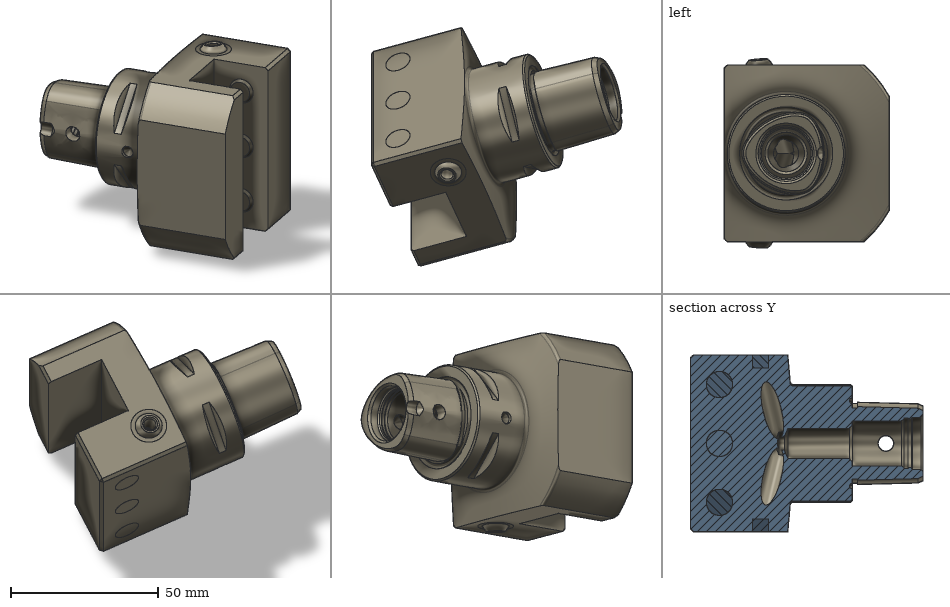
import cadquery as cq
import math


SHANK_LENGTH = 24.0
LOBE_HEIGHT = 1.0
SHANK_RADIUS = 14.0
TAPER_PER_LENGTH = 0.025
TAPER_END = -1.65
LEAD_LENGTH = 1.7
LEAD_DROP = 0.8
NECK_DROP = 0.4
NECK_RADIUS = 14.1
POINTS_PER_SEGMENT = 8

FLANGE_RADIUS = 20.0
FLANGE_LENGTH = 20.1
FLANGE_CHAMFER = 0.55
ROOT_FILLET = 1.0
HEAD_RADIUS = 40.0
HEAD_EDGE_ROUND = 0.95
HEAD_BACK_ANGLE = 5.0
HEAD_END = 55.0
HEAD_FRONT_Y = -35.0
HEAD_BACK_Y = 21.0
HEAD_HALF_HEIGHT = 30.0
HEAD_CHAMFER = 1.0
FORK_DEPTH = 20.0
FORK_WALL_Y = 1.0
FORK_WIDTH = 20.9

FACE_GROOVE_RADIUS = 0.9
FACE_GROOVE_CENTRE = NECK_RADIUS + FACE_GROOVE_RADIUS

GRIPPER_X = 8.1
GRIPPER_FLOOR_WIDTH = 2.5
GRIPPER_FLOOR_RADIUS = 17.6
GRIPPER_WALL_ANGLE = 30.0
GRIPPER_COUNT = 4

DRILL_TIP_RATIO = 0.8
SHANK_HOLE_RADIUS = 2.6
SHANK_HOLE_X = -11.4
SHANK_HOLE_END_Y = 10.3
NOTCH_AXIS_Y = -13.2
NOTCH_DEPTH = 4.3
MARK_HOLE_RADIUS = 2.05
MARK_HOLE_X = 12.1
MARK_HOLE_DEPTH = 1.2

BORE_STEPS = [
    (0.0, 10.3),
    (0.8, 9.5),
    (3.6, 9.5),
    (4.0, 8.9),
    (5.1, 8.9),
    (5.1, 9.25),
    (6.5, 9.25),
    (6.5, 8.9),
    (7.3, 8.45),
    (24.0, 8.45),
    (24.0, 7.2),
    (25.05, 6.25),
    (45.8, 6.25),
    (47.0, 4.3),
    (49.0, 4.3),
    (51.4, 0.0),
]

NOZZLE_X = 31.2
NOZZLE_Y = 9.2
RING_RADIUS = 6.1
BALL_RADIUS = 5.05
BALL_DEPTH = 2.1
BALL_FLAT_HEIGHT = 3.95
BALL_TILT_X = 5.0
BALL_TILT_Y = 4.5
RING_LENGTH = 2 * BALL_DEPTH
SOCKET_MOUTH_RADIUS = 2.5
JET_RADIUS = 2.05
CHANNEL_RADIUS = 3.0
CHANNEL_START_X = 24.5

SCREW_X = 45.1
SCREW_PITCH = 20.0
SCREW_COUNT = 3
SCREW_RADIUS = 4.35
SCREW_POINT_RADIUS = 3.55
SCREW_POINT_LENGTH = 1.1


def polygon_wire(x, radius):
    """Closed three-lobed outline at x, made of six curves, with one lobe toward +Y."""
    def point(angle):
        support = radius + LOBE_HEIGHT * math.cos(3 * angle)
        slope = -3 * LOBE_HEIGHT * math.sin(3 * angle)
        y = support * math.cos(angle) - slope * math.sin(angle)
        z = support * math.sin(angle) + slope * math.cos(angle)
        return cq.Vector(x, y, z)

    segment = math.pi / 3
    edges = []
    for index in range(6):
        start = (index - 0.5) * segment
        steps = [start + segment * i / POINTS_PER_SEGMENT for i in range(POINTS_PER_SEGMENT + 1)]
        tangents = [cq.Vector(0, -math.sin(a), math.cos(a)) for a in (steps[0], steps[-1])]
        edges.append(cq.Edge.makeSpline([point(a) for a in steps], tangents=tangents))
    return cq.Wire.assembleEdges(edges)


def polygon_solid(x_start, radius_start, x_end, radius_end):
    wires = [polygon_wire(x_start, radius_start), polygon_wire(x_end, radius_end)]
    return cq.Workplane(cq.Solid.makeLoft(wires, True))


def make_shank():
    lead_end = -SHANK_LENGTH + LEAD_LENGTH
    lead_radius = SHANK_RADIUS - TAPER_PER_LENGTH * (TAPER_END - lead_end)
    neck_radius = SHANK_RADIUS - NECK_DROP
    lead = polygon_solid(-SHANK_LENGTH, lead_radius - LEAD_DROP, lead_end, lead_radius)
    taper = polygon_solid(lead_end, lead_radius, TAPER_END, SHANK_RADIUS)
    neck = polygon_solid(TAPER_END, neck_radius, FLANGE_CHAMFER, neck_radius)
    neck_round = cq.Workplane("YZ", origin=(TAPER_END, 0, 0)).circle(NECK_RADIUS).extrude(-2 * TAPER_END)
    return lead.union(taper).union(neck.intersect(neck_round))


def make_turned_envelope():
    """Flange and the round, cone-backed envelope of the head, revolved about X."""
    cone = math.tan(math.radians(HEAD_BACK_ANGLE))
    root_x = FLANGE_LENGTH + ROOT_FILLET
    root_radius = FLANGE_RADIUS + ROOT_FILLET
    rim_radius = HEAD_RADIUS - HEAD_EDGE_ROUND
    rim_x = root_x + (rim_radius - root_radius) * cone
    profile = (
        cq.Workplane("XY")
        .moveTo(0, 0)
        .lineTo(0, FLANGE_RADIUS - FLANGE_CHAMFER)
        .lineTo(FLANGE_CHAMFER, FLANGE_RADIUS)
        .lineTo(FLANGE_LENGTH, FLANGE_RADIUS)
        .tangentArcPoint((root_x, root_radius), relative=False)
        .lineTo(rim_x, rim_radius)
        .tangentArcPoint((rim_x + HEAD_EDGE_ROUND, HEAD_RADIUS), relative=False)
        .lineTo(HEAD_END, HEAD_RADIUS)
        .lineTo(HEAD_END, 0)
        .close()
    )
    return profile.revolve(360, (0, 0, 0), (1, 0, 0))


def make_head_block():
    """Box that trims the turned envelope to the flat sides of the head."""
    block = cq.Workplane("XY").box(
        HEAD_END,
        HEAD_BACK_Y - HEAD_FRONT_Y,
        2 * HEAD_HALF_HEIGHT,
        centered=(False, False, True),
    ).translate((0, HEAD_FRONT_Y, 0))
    return block.edges("(>X and (>Y or >Z or <Z)) or (>Y and (>Z or <Z))").chamfer(HEAD_CHAMFER)


def make_fork_slot():
    return cq.Workplane("XY").box(
        FORK_DEPTH,
        FORK_WIDTH,
        2 * HEAD_HALF_HEIGHT,
        centered=(False, False, True),
    ).translate((HEAD_END - FORK_DEPTH, FORK_WALL_Y - FORK_WIDTH, 0))


def make_bore():
    points = [(depth - SHANK_LENGTH, radius) for depth, radius in BORE_STEPS]
    profile = cq.Workplane("XY").moveTo(-SHANK_LENGTH, 0).polyline(points, includeCurrent=True).close()
    return profile.revolve(360, (0, 0, 0), (1, 0, 0))


def make_face_groove():
    ring = cq.Solid.makeTorus(
        FACE_GROOVE_CENTRE, FACE_GROOVE_RADIUS, cq.Vector(0, 0, 0), cq.Vector(1, 0, 0)
    )
    half_space = cq.Workplane("YZ").circle(FLANGE_RADIUS).extrude(FLANGE_LENGTH)
    return half_space.intersect(cq.Workplane(ring))


def make_gripper_slots():
    slot_height = FLANGE_RADIUS - GRIPPER_FLOOR_RADIUS + 0.8
    half_floor = GRIPPER_FLOOR_WIDTH / 2
    half_top = half_floor + slot_height * math.tan(math.radians(GRIPPER_WALL_ANGLE))
    slot = (
        cq.Workplane("XZ", origin=(GRIPPER_X, 0, GRIPPER_FLOOR_RADIUS))
        .polyline([(-half_floor, 0), (half_floor, 0), (half_top, slot_height), (-half_top, slot_height)])
        .close()
        .extrude(FLANGE_RADIUS, both=True)
    )
    pitch = 360 / GRIPPER_COUNT
    return [slot.rotate((0, 0, 0), (1, 0, 0), pitch * (i + 0.5)) for i in range(GRIPPER_COUNT)]


def drilled_hole(radius, start, direction, depth):
    """Drill shape with a conical tip; depth is the length at full radius."""
    plane = cq.Plane(origin=start, xDir=(0, 0, 1), normal=direction)
    shaft = cq.Workplane(plane).circle(radius).extrude(depth)
    tip = cq.Solid.makeCone(
        radius,
        0,
        radius * DRILL_TIP_RATIO,
        cq.Vector(*start) + cq.Vector(*direction) * depth,
        cq.Vector(*direction),
    )
    return shaft.union(cq.Workplane(tip))


def make_holes():
    """End notch, cross hole through the shank bore, and shallow mark hole in the flange."""
    into_part = (0, 1, 0)
    flat_y = LOBE_HEIGHT - SHANK_RADIUS
    shank_hole_depth = SHANK_HOLE_END_Y - flat_y
    notch = drilled_hole(SHANK_HOLE_RADIUS, (-SHANK_LENGTH, NOTCH_AXIS_Y, 0), (1, 0, 0), NOTCH_DEPTH)
    shank_hole = drilled_hole(SHANK_HOLE_RADIUS, (SHANK_HOLE_X, flat_y, 0), into_part, shank_hole_depth)
    mark_hole = drilled_hole(MARK_HOLE_RADIUS, (MARK_HOLE_X, -FLANGE_RADIUS, 0), into_part, MARK_HOLE_DEPTH)
    return [notch, shank_hole, mark_hole]


def make_nozzle_seat():
    """Ball-shaped space at the upper nozzle."""
    seat = cq.Workplane("XY").sphere(BALL_RADIUS)
    return seat.translate((NOZZLE_X, NOZZLE_Y, HEAD_HALF_HEIGHT - BALL_DEPTH))


def make_nozzle_pocket():
    """Pocket for the upper ring, with a round seat under it for the ball."""
    top = cq.Workplane("XY", origin=(NOZZLE_X, NOZZLE_Y, HEAD_HALF_HEIGHT))
    return top.circle(RING_RADIUS).extrude(-RING_LENGTH).union(make_nozzle_seat())


def make_coolant_channel():
    """Straight channel from the central bore to the middle of the upper nozzle."""
    start = cq.Vector(CHANNEL_START_X, 0, 0)
    path = cq.Vector(NOZZLE_X, NOZZLE_Y, HEAD_HALF_HEIGHT - BALL_DEPTH) - start
    return cq.Workplane(cq.Solid.makeCylinder(CHANNEL_RADIUS, path.Length, start, path))


def make_nozzle_ball():
    """Upper ball, cut flat and drilled through, tilted toward -X and +Y."""
    ball = cq.Workplane("XY").sphere(BALL_RADIUS)
    above_flat = (
        cq.Workplane("XY", origin=(0, 0, BALL_FLAT_HEIGHT)).circle(BALL_RADIUS).extrude(BALL_RADIUS)
    )
    jet = cq.Workplane("XY").cylinder(2 * BALL_RADIUS, JET_RADIUS)
    mouth = cq.Workplane(
        cq.Solid.makeCone(
            SOCKET_MOUTH_RADIUS,
            0,
            SOCKET_MOUTH_RADIUS,
            cq.Vector(0, 0, BALL_FLAT_HEIGHT),
            cq.Vector(0, 0, -1),
        )
    )
    ball = ball.cut(above_flat).cut(jet).cut(mouth)
    ball = ball.rotate((0, 0, 0), (0, 1, 0), -BALL_TILT_X).rotate((0, 0, 0), (1, 0, 0), -BALL_TILT_Y)
    return ball.translate((NOZZLE_X, NOZZLE_Y, HEAD_HALF_HEIGHT - BALL_DEPTH))


def make_nozzle_ring():
    """Upper ring, with a spherical seat that holds the ball at its middle."""
    top = cq.Workplane("XY", origin=(NOZZLE_X, NOZZLE_Y, HEAD_HALF_HEIGHT))
    return top.circle(RING_RADIUS).extrude(-RING_LENGTH).cut(make_nozzle_seat())


def with_lower_copy(upper):
    """The upper body and its copy, turned half a turn about the Y line below it."""
    lower = upper.rotate((NOZZLE_X, 0, 0), (NOZZLE_X, 1, 0), 180)
    return [upper, lower]


def screw_heights():
    middle = (SCREW_COUNT - 1) / 2
    return [(i - middle) * SCREW_PITCH for i in range(SCREW_COUNT)]


def make_screw(z):
    """Clamping screw from the back face into the fork slot, with a chamfered point."""
    profile = (
        cq.Workplane("XY", origin=(SCREW_X, 0, z))
        .moveTo(0, FORK_WALL_Y - SCREW_POINT_LENGTH)
        .lineTo(SCREW_POINT_RADIUS, FORK_WALL_Y - SCREW_POINT_LENGTH)
        .lineTo(SCREW_RADIUS, FORK_WALL_Y)
        .lineTo(SCREW_RADIUS, HEAD_BACK_Y)
        .lineTo(0, HEAD_BACK_Y)
        .close()
    )
    return profile.revolve(360, (0, 0, 0), (0, 1, 0))


def make_screw_hole(z):
    start = cq.Workplane("XZ", origin=(SCREW_X, HEAD_BACK_Y, z))
    return start.circle(SCREW_RADIUS).extrude(HEAD_BACK_Y - FORK_WALL_Y)


def make_housing():
    body = make_turned_envelope().intersect(make_head_block())
    body = body.cut(make_face_groove()).union(make_shank()).cut(make_bore()).cut(make_fork_slot())
    cutters = make_gripper_slots() + make_holes() + with_lower_copy(make_nozzle_pocket())
    channel = make_coolant_channel()
    cutters += [channel, channel.mirror("XY")]
    cutters += [make_screw_hole(z) for z in screw_heights()]
    for cutter in cutters:
        body = body.cut(cutter)
    return body


housing = make_housing()
rings = with_lower_copy(make_nozzle_ring())
balls = with_lower_copy(make_nozzle_ball())
screws = [make_screw(z) for z in screw_heights()]

result = cq.Compound.makeCompound([body.val() for body in [housing, *rings, *balls, *screws]])